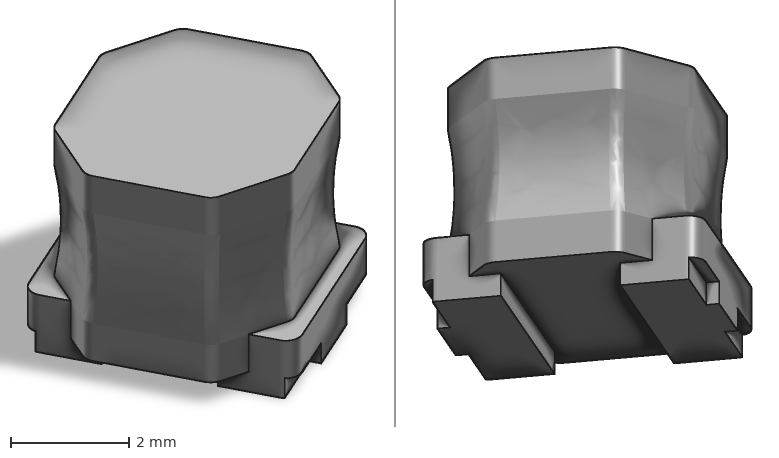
import cadquery as cq

length = 4.9
body_width = 4.288
height = 4.1

pad_height = 0.4
flange_thickness = 0.75
flange_top = pad_height + flange_thickness
waist_top = height - flange_thickness

front_edge = 2.285
side_edge = 2.46
corner_radius = 0.3
waist_scale = 0.955

flange_depth = 3.8

pad_inner_gap = 2.08
pad_recess = 0.22
tab_width = 1.31


def octagon(scale=1.0):
    """Rounded octagon outline, scaled about the centre."""
    half_x = scale * body_width / 2
    half_y = scale * length / 2
    short_x = scale * front_edge / 2
    short_y = scale * side_edge / 2
    points = [
        (short_x, half_y), (half_x, short_y),
        (half_x, -short_y), (short_x, -half_y),
        (-short_x, -half_y), (-half_x, -short_y),
        (-half_x, short_y), (-short_x, half_y),
    ]
    face = cq.Sketch().polygon(points + points[:1])
    return face.vertices().fillet(scale * corner_radius)


def octagon_plate(bottom, thickness):
    return cq.Workplane("XY", origin=(0, 0, bottom)).placeSketch(octagon()).extrude(thickness)


def waist():
    """Concave wall, narrowest at mid height."""
    half_height = (waist_top - flange_top) / 2
    sections = [
        octagon().moved(cq.Location(cq.Vector(0, 0, 0))),
        octagon(waist_scale).moved(cq.Location(cq.Vector(0, 0, half_height))),
        octagon().moved(cq.Location(cq.Vector(0, 0, 2 * half_height))),
    ]
    return cq.Workplane("XY", origin=(0, 0, flange_top)).placeSketch(*sections).loft()


def rounded_block(bottom, thickness):
    """Rectangular block with the flange outline."""
    block = cq.Workplane("XY", origin=(0, 0, bottom + thickness / 2))
    return block.box(length, flange_depth, thickness).edges("|Z").fillet(corner_radius)


def pads():
    """Two end pads, each with a central tab reaching the end of the flange."""
    main = cq.Workplane("XY").box(length - 2 * pad_recess, length, height)
    tabs = cq.Workplane("XY").box(length, tab_width, height)
    gap = cq.Workplane("XY").box(pad_inner_gap, length, height)
    return rounded_block(0, pad_height).intersect(main.union(tabs).cut(gap))


result = (
    octagon_plate(pad_height, flange_thickness)
    .union(rounded_block(pad_height, flange_thickness))
    .union(waist())
    .union(octagon_plate(waist_top, flange_thickness))
    .union(pads())
)